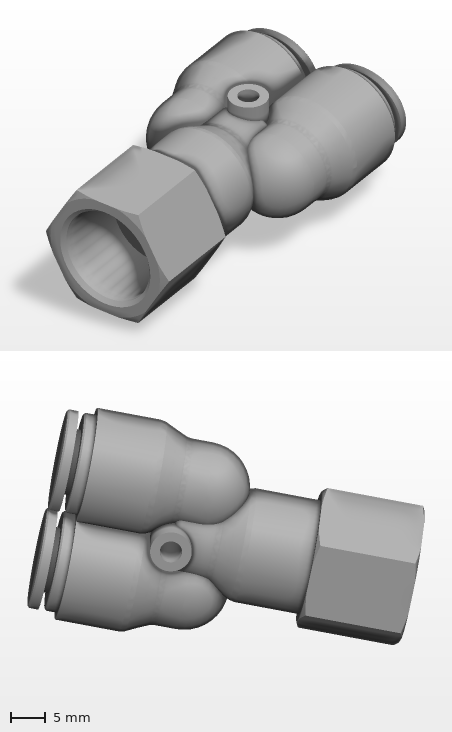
import cadquery as cq
import math


overall_length = 53.6
overall_width = 32.1
nut_length = 15.05
housing_end = 49.35
ring_end = 51.15
collar_flange_start = 52.05

hex_across_flats = 19.0
hex_rim_diameter = 19.4
hex_chamfer_height = 0.55
socket_mouth_diameter = 16.0
socket_mouth_chamfer = 0.65
socket_end_diameter = 14.05
socket_taper = 1 / 16
nut_passage_diameter = 6.4

large_diameter = 16.7
small_diameter = 13.0
arm_offset = (overall_width - large_diameter) / 2
edge_blend_radius = 2.0
stem_cone_start = 24.9
stem_cone_end = 29.0
stem_end_round = 1.0
arm_cone_end = 39.55
arm_cone_start = 35.55
arm_dome_start = 31.95

eyelet_y = 35.45
eyelet_diameter = 6.0
eyelet_hole_diameter = 3.2
eyelet_height = 17.05

ring_diameter = 14.7
ring_edge_chamfer = 0.25
collar_width = 15.0
collar_height = 13.1
collar_edge_chamfer = 0.25
collar_neck_diameter = 9.6


def cross_section(y, x=0.0):
    """Workplane across the Y axis, centred on the axis at the given X."""
    return cq.Workplane(cq.Plane(origin=(x, y, 0), xDir=(1, 0, 0), normal=(0, 1, 0)))


def disc_along_y(diameter, start, end, x=0.0):
    """Cylinder on an axis parallel to Y, from Y = start to Y = end."""
    return cross_section(start, x).circle(diameter / 2).extrude(end - start)


def turned(profile):
    """Solid of revolution of an XY half profile about the Y axis."""
    return profile.close().revolve(360, (0, 0, 0), (0, 1, 0))


def hex_prism():
    """Hexagon with its flats on +Z and -Z and cone-chamfered corners at both ends."""
    corner_diameter = hex_across_flats / math.cos(math.pi / 6)
    prism = cross_section(0).polygon(6, corner_diameter).extrude(nut_length)
    corner_radius = corner_diameter / 2
    rim_radius = hex_rim_diameter / 2
    envelope = turned(
        cq.Workplane("XY")
        .moveTo(0, 0)
        .lineTo(rim_radius, 0)
        .lineTo(corner_radius, hex_chamfer_height)
        .lineTo(corner_radius, nut_length - hex_chamfer_height)
        .lineTo(rim_radius, nut_length)
        .lineTo(0, nut_length)
    )
    return prism.intersect(envelope)


def tapered_socket():
    """Chamfered mouth followed by a pipe-thread taper."""
    mouth_radius = socket_mouth_diameter / 2
    taper_start_radius = mouth_radius - socket_mouth_chamfer
    end_radius = socket_end_diameter / 2
    taper_length = 2 * (taper_start_radius - end_radius) / socket_taper
    socket_depth = socket_mouth_chamfer + taper_length
    return turned(
        cq.Workplane("XY")
        .moveTo(0, 0)
        .lineTo(mouth_radius, 0)
        .lineTo(taper_start_radius, socket_mouth_chamfer)
        .lineTo(end_radius, socket_depth)
        .lineTo(0, socket_depth)
    )


def make_nut():
    passage = disc_along_y(nut_passage_diameter, 0, nut_length)
    return hex_prism().cut(tapered_socket()).cut(passage)


def tapered_tube(barrel_end, cone_large, cone_small, neck_end, end_round):
    """Barrel, blended cone and neck with a rounded end, around the Y axis.

    The tube points toward +Y or -Y, depending on the order of the stations.
    An end_round of half the neck diameter makes a dome.
    """
    large_radius = large_diameter / 2
    small_radius = small_diameter / 2
    direction = math.copysign(1, neck_end - barrel_end)
    round_start = neck_end - direction * end_round
    round_centre_radius = small_radius - end_round
    diagonal = end_round * math.sqrt(0.5)
    profile = (
        cq.Workplane("XY")
        .moveTo(0, barrel_end)
        .lineTo(large_radius, barrel_end)
        .lineTo(large_radius, cone_large)
        .lineTo(small_radius, cone_small)
        .lineTo(small_radius, round_start)
        .threePointArc(
            (round_centre_radius + diagonal, round_start + direction * diagonal),
            (round_centre_radius, neck_end),
        )
    )
    if round_centre_radius > 0:
        profile = profile.lineTo(0, neck_end)
    margin = 0.05
    cone_low, cone_high = sorted((cone_large, cone_small))
    cone_edges = cq.selectors.BoxSelector(
        (-large_diameter, cone_low - margin, -large_diameter),
        (large_diameter, cone_high + margin, large_diameter),
        boundingbox=True,
    )
    return turned(profile).edges(cone_edges).edges("%CIRCLE").fillet(edge_blend_radius)


def make_housing():
    dome_radius = small_diameter / 2
    arm_tip = arm_dome_start - dome_radius
    housing = tapered_tube(nut_length, stem_cone_start, stem_cone_end, eyelet_y, stem_end_round)
    arm = tapered_tube(housing_end, arm_cone_end, arm_cone_start, arm_tip, dome_radius)
    for side in (-1, 1):
        housing = housing.union(arm.translate((side * arm_offset, 0, 0)))
    eyelet_base = cq.Workplane("XY", origin=(0, eyelet_y, -eyelet_height / 2))
    eyelet = eyelet_base.circle(eyelet_diameter / 2).extrude(eyelet_height)
    eyelet_hole = eyelet_base.circle(eyelet_hole_diameter / 2).extrude(eyelet_height)
    return housing.union(eyelet).cut(eyelet_hole)


def make_retaining_ring(x):
    """Stepped disc seated on the end of an arm."""
    ring = disc_along_y(ring_diameter, housing_end, ring_end, x)
    return ring.faces(">Y").edges().chamfer(ring_edge_chamfer)


def make_release_collar(x):
    """Round neck standing on the retaining ring, with an oval flange."""
    neck = disc_along_y(collar_neck_diameter, ring_end, collar_flange_start, x)
    flange = (
        cross_section(collar_flange_start, x)
        .ellipse(collar_width / 2, collar_height / 2)
        .extrude(overall_length - collar_flange_start)
        .faces(">Y").edges().chamfer(collar_edge_chamfer)
    )
    return neck.union(flange)


nut = make_nut()
housing = make_housing()
arm_axes = [side * arm_offset for side in (-1, 1)]
retaining_rings = [make_retaining_ring(x) for x in arm_axes]
release_collars = [make_release_collar(x) for x in arm_axes]

result = cq.Compound.makeCompound([
    nut.val(),
    housing.val(),
    *[ring.val() for ring in retaining_rings],
    *[collar.val() for collar in release_collars],
])